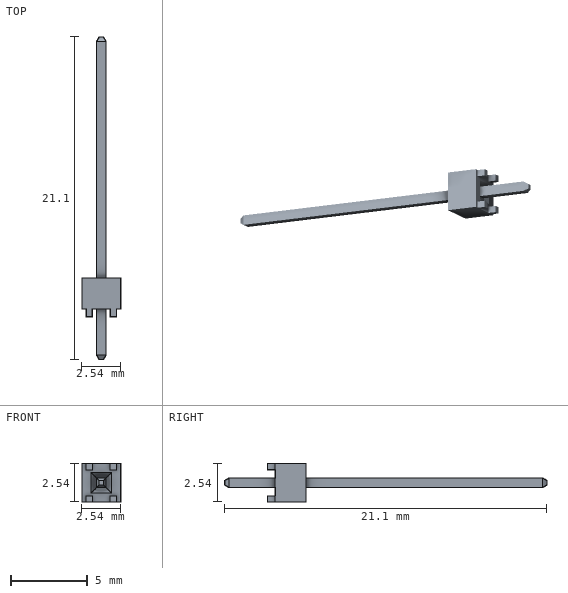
import cadquery as cq

pin_length = 21.082
pin_width = 0.635
tip_length = 0.3
tip_width = 0.29

pitch = 2.54
body_depth = 2.032
body_front_y = 0.0
pin_front_reach = 3.302

peg_width = 0.42
peg_length = pitch - body_depth
peg_side_inset = 0.27

funnel_width = 1.32
funnel_depth = 0.254


def square_frustum(start_y, start_width, end_width, length):
    """Square section tapering along +Y from start_width to end_width."""
    return (
        cq.Workplane("XZ", origin=(0, start_y, 0))
        .rect(start_width, start_width)
        .workplane(offset=-length)
        .rect(end_width, end_width)
        .loft(ruled=True)
    )


def make_pin():
    """Square pin with a blunt pyramidal tip at each end."""
    front_y = body_front_y - pin_front_reach
    shank_length = pin_length - 2 * tip_length
    shank_start_y = front_y + tip_length
    shank_end_y = shank_start_y + shank_length
    front_tip = square_frustum(front_y, tip_width, pin_width, tip_length)
    shank = cq.Workplane("XY").box(pin_width, shank_length, pin_width, centered=(True, False, True))
    shank = shank.translate((0, shank_start_y, 0))
    back_tip = square_frustum(shank_end_y, pin_width, tip_width, tip_length)
    return shank.union(front_tip).union(back_tip)


def make_body():
    """Square block with the lead-in funnel cut into its front face."""
    block = cq.Workplane("XY").box(pitch, body_depth, pitch, centered=(True, False, True))
    block = block.translate((0, body_front_y, 0))
    return block.cut(square_frustum(body_front_y, funnel_width, pin_width, funnel_depth))


def make_pegs():
    """Four square standoff pegs, flush with the top and bottom of the body."""
    peg_x = pitch / 2 - peg_side_inset - peg_width / 2
    peg_z = (pitch - peg_width) / 2
    centers = [(x, z) for x in (-peg_x, peg_x) for z in (-peg_z, peg_z)]
    return (
        cq.Workplane("XZ", origin=(0, body_front_y, 0))
        .pushPoints(centers)
        .rect(peg_width, peg_width)
        .extrude(peg_length)
    )


result = make_body().union(make_pegs()).union(make_pin())